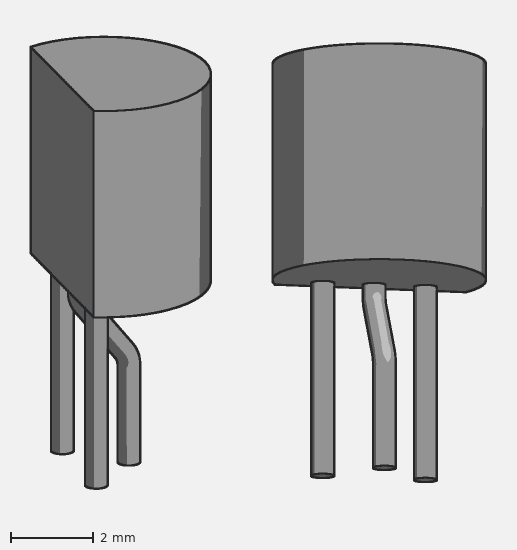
import cadquery as cq
import math


case_diameter = 5.19
case_depth = 3.67
case_height = 5.34
case_radius = case_diameter / 2
flat_y = case_radius - case_depth
flat_half_width = math.sqrt(case_radius**2 - flat_y**2)

lead_diameter = 0.56
lead_pitch = 1.27
lead_length = 4.77
lead_to_flat = 0.44
lead_radius = lead_diameter / 2
lead_row_y = flat_y + lead_to_flat

joggle_offset = lead_pitch
upper_corner_z = -0.42
lower_corner_z = -2.04
bend_radius = 0.58
joggle_angle = math.atan2(joggle_offset, upper_corner_z - lower_corner_z)


def make_case():
    """Round case with a flat front."""
    return (
        cq.Workplane("XY")
        .moveTo(-flat_half_width, flat_y)
        .threePointArc((0, case_radius), (flat_half_width, flat_y))
        .close()
        .extrude(case_height)
    )


def make_outer_lead(x):
    """Straight lead hanging from the underside of the case."""
    return cq.Workplane("XY").center(x, lead_row_y).circle(lead_radius).extrude(-lead_length)


def make_middle_lead():
    """Lead with two equal and opposite bends, swept along its centre line."""
    back_y = lead_row_y + joggle_offset
    tangent_length = bend_radius * math.tan(joggle_angle / 2)
    slant_y = tangent_length * math.sin(joggle_angle)
    slant_z = tangent_length * math.cos(joggle_angle)
    half_bend_y = bend_radius * (1 - math.cos(joggle_angle / 2))
    half_bend_z = bend_radius * math.sin(joggle_angle / 2)

    upper_bend_start_z = upper_corner_z + tangent_length
    upper_bend_middle = (lead_row_y + half_bend_y, upper_bend_start_z - half_bend_z)
    upper_bend_end = (lead_row_y + slant_y, upper_corner_z - slant_z)

    lower_bend_start = (back_y - slant_y, lower_corner_z + slant_z)
    lower_bend_end_z = lower_corner_z - tangent_length
    lower_bend_middle = (back_y - half_bend_y, lower_bend_end_z + half_bend_z)

    centre_line = (
        cq.Workplane("YZ")
        .moveTo(lead_row_y, 0)
        .lineTo(lead_row_y, upper_bend_start_z)
        .threePointArc(upper_bend_middle, upper_bend_end)
        .lineTo(*lower_bend_start)
        .threePointArc(lower_bend_middle, (back_y, lower_bend_end_z))
        .lineTo(back_y, -lead_length)
    )
    return cq.Workplane("XY").center(0, lead_row_y).circle(lead_radius).sweep(centre_line)


case = make_case()
outer_leads = [make_outer_lead(side * lead_pitch) for side in (-1, 1)]
middle_lead = make_middle_lead()

result = cq.Compound.makeCompound(
    [case.val(), *[lead.val() for lead in outer_leads], middle_lead.val()]
)